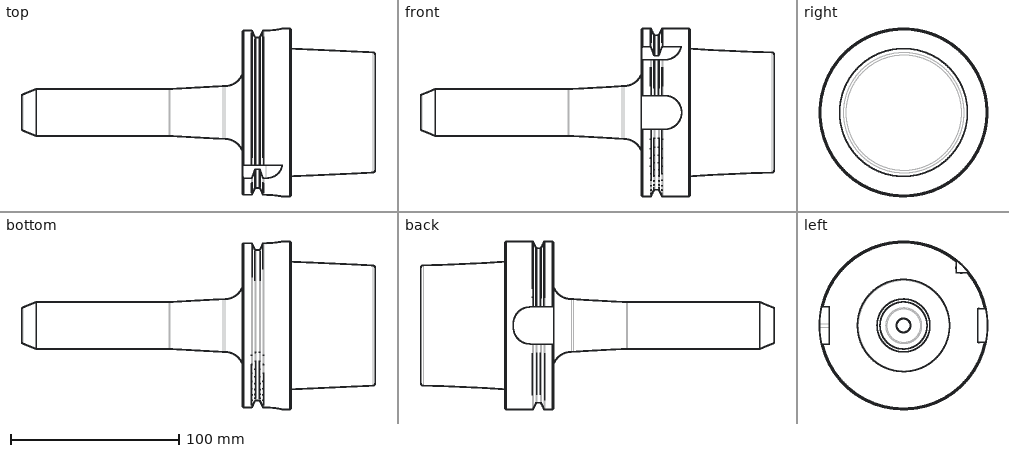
import cadquery as cq
import math


gauge_length = 160.0
shank_length = 50.0
flange_width = 29.0
tip_x = -gauge_length
front_face_x = -flange_width

bore_diameter = 8.0
bore_mouth_diameter = 8.5
bore_depth = 36.0
tip_diameter = 21.0
tip_cone_length = 8.5
tip_edge_radius = 0.8
nose_diameter = 28.0
nose_length = 87.7
nose_blend_radius = 10.0
neck_diameter = 31.5
neck_fillet_radius = 11.2
neck_land_length = 1.2
recess_depth = 0.8
recess_diameter = 54.8

flange_diameter = 100.0
flange_chamfer = 0.8
groove_center_x = -20.0
groove_mouth_width = 6.6
groove_floor_diameter = 92.0
groove_wall_angle = 25.0
groove_mouth_radius = 0.8
groove_floor_radius = 0.7

taper_large_diameter = 76.0
taper_ratio = 0.09
taper_small_diameter = taper_large_diameter - taper_ratio * shank_length
shank_end_radius = 1.5

slot_floor_offset = 44.0
front_slot_width = 20.0
rear_slot_width = 22.0
cutter_radius = 10.0
cutter_center_x = -15.0
notch_offset = 31.3


def make_body():
    """Revolve the outer profile of neck, flange and shank about X."""
    flange_radius = flange_diameter / 2
    neck_radius = neck_diameter / 2
    recess_floor_x = front_face_x + recess_depth
    fillet_start_x = recess_floor_x - neck_fillet_radius
    fillet_outer_radius = neck_radius + neck_fillet_radius
    fillet_leg = neck_fillet_radius * math.sqrt(0.5)
    fillet_mid = (fillet_start_x + fillet_leg, fillet_outer_radius - fillet_leg)
    nose_radius = nose_diameter / 2
    nose_end_x = tip_x + nose_length
    cone_end_x = fillet_start_x - neck_land_length
    cone_angle = math.atan2(neck_radius - nose_radius, cone_end_x - nose_end_x)
    blend_trim = nose_blend_radius * math.tan(cone_angle / 2)
    blend_end = (
        nose_end_x + blend_trim * math.cos(cone_angle),
        nose_radius + blend_trim * math.sin(cone_angle),
    )
    profile = (
        cq.Workplane("XY")
        .moveTo(tip_x, 0)
        .lineTo(tip_x, tip_diameter / 2)
        .lineTo(tip_x + tip_cone_length, nose_radius)
        .lineTo(nose_end_x - blend_trim, nose_radius)
        .tangentArcPoint(blend_end, relative=False)
        .lineTo(cone_end_x, neck_radius)
        .lineTo(fillet_start_x, neck_radius)
        .threePointArc(fillet_mid, (recess_floor_x, fillet_outer_radius))
        .lineTo(recess_floor_x, recess_diameter / 2)
        .lineTo(front_face_x, recess_diameter / 2)
        .lineTo(front_face_x, flange_radius - flange_chamfer)
        .lineTo(front_face_x + flange_chamfer, flange_radius)
        .lineTo(-flange_chamfer, flange_radius)
        .lineTo(0, flange_radius - flange_chamfer)
        .lineTo(0, taper_large_diameter / 2)
        .lineTo(shank_length, taper_small_diameter / 2)
        .lineTo(shank_length, 0)
        .close()
    )
    body = profile.revolve(360, (0, 0, 0), (1, 0, 0))
    body = body.faces("<X").edges().fillet(tip_edge_radius)
    return body.faces(">X").edges().fillet(shank_end_radius)


def make_groove():
    """Ring with slanted walls and rounded corners that cuts the gripper groove."""
    floor_radius = groove_floor_diameter / 2
    rim_radius = flange_diameter / 2
    depth = rim_radius - floor_radius
    slope = math.tan(math.radians(groove_wall_angle))
    mouth_half = groove_mouth_width / 2
    floor_half = mouth_half - depth * slope
    turn = math.radians(90 - groove_wall_angle)
    mouth_trim = groove_mouth_radius * math.tan(turn / 2)
    floor_trim = groove_floor_radius * math.tan(turn / 2)

    def on_wall(distance_from_mouth):
        inward = distance_from_mouth * math.cos(turn)
        down = distance_from_mouth * math.sin(turn)
        return (mouth_half - inward, rim_radius - down)

    wall_length = depth / math.sin(turn)
    wall_top = on_wall(mouth_trim)
    wall_bottom = on_wall(wall_length - floor_trim)
    mouth_edge = mouth_half + mouth_trim
    floor_edge = floor_half - floor_trim
    profile = (
        cq.Workplane("XY", origin=(groove_center_x, 0, 0))
        .moveTo(-mouth_edge, rim_radius)
        .radiusArc((-wall_top[0], wall_top[1]), groove_mouth_radius)
        .lineTo(-wall_bottom[0], wall_bottom[1])
        .radiusArc((-floor_edge, floor_radius), -groove_floor_radius)
        .lineTo(floor_edge, floor_radius)
        .radiusArc(wall_bottom, -groove_floor_radius)
        .lineTo(*wall_top)
        .radiusArc((mouth_edge, rim_radius), groove_mouth_radius)
        .close()
    )
    return profile.revolve(360, (0, 0, 0), (1, 0, 0))


def make_bore():
    """Blind tool bore with a slightly wider, chamfered mouth."""
    mouth_chamfer = (bore_mouth_diameter - bore_diameter) / 2
    profile = cq.Workplane("XY").polyline([
        (tip_x, 0),
        (tip_x, bore_mouth_diameter / 2),
        (tip_x + mouth_chamfer, bore_diameter / 2),
        (tip_x + bore_depth, bore_diameter / 2),
        (tip_x + bore_depth, 0),
    ]).close()
    return profile.revolve(360, (0, 0, 0), (1, 0, 0))


def make_driver_slot(width, side):
    """Slot open to the front face, rounded by the cutter at its inner end."""
    half_width = width / 2
    corner_z = half_width - cutter_radius
    end_x = cutter_center_x + cutter_radius
    depth = flange_diameter / 2 - slot_floor_offset
    profile = (
        cq.Workplane("XZ", origin=(0, side * slot_floor_offset, 0))
        .moveTo(front_face_x, half_width)
        .lineTo(cutter_center_x, half_width)
        .radiusArc((end_x, corner_z), cutter_radius)
    )
    if corner_z > 0:
        profile = profile.lineTo(end_x, -corner_z)
    profile = (
        profile
        .radiusArc((cutter_center_x, -half_width), cutter_radius)
        .lineTo(front_face_x, -half_width)
        .close()
    )
    return profile.extrude(-side * depth)


def make_notch():
    """Orientation notch on the -Y, +Z shoulder of the flange rim."""
    size = flange_diameter / 2 - notch_offset
    end_x = cutter_center_x + cutter_radius
    profile = (
        cq.Workplane("XZ", origin=(0, -notch_offset, 0))
        .moveTo(front_face_x, notch_offset)
        .lineTo(cutter_center_x, notch_offset)
        .radiusArc((end_x, notch_offset + cutter_radius), -cutter_radius)
        .lineTo(end_x, notch_offset + size)
        .lineTo(front_face_x, notch_offset + size)
        .close()
    )
    return profile.extrude(size)


result = (
    make_body()
    .cut(make_groove())
    .cut(make_bore())
    .cut(make_driver_slot(front_slot_width, -1))
    .cut(make_driver_slot(rear_slot_width, 1))
    .cut(make_notch())
)